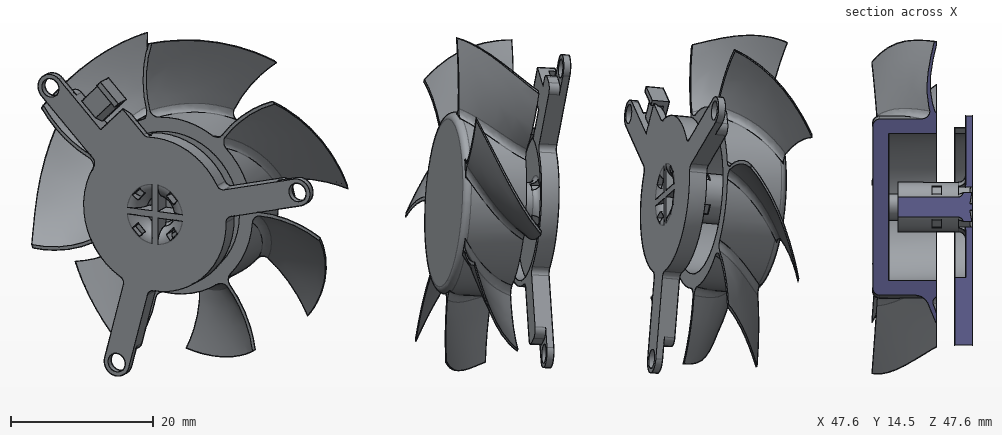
import cadquery as cq
import math

SPAN = 47.6

PLATE_RADIUS = 11.15
PLATE_DEPTH = 2.5
FLOOR = 1.0
RIM_WALL = 0.8
FIRST_ARM_ANGLE = 15.0
ARM_COUNT = 3
ARM_STEP = 360.0 / ARM_COUNT
ARM_REACH = 23.1
LUG_RADIUS = 1.95
LUG_HOLE_RADIUS = 1.35
THICK_ARM_REACH = ARM_REACH - LUG_RADIUS
THICK_ARM_ROUNDING = 1.2
ARM_CORNER = 0.95

TUBE_RADIUS = 3.48
TUBE_END = 10.47
TUBE_FOOT = 1.0
THROAT_RADIUS = 2.25
FUNNEL_RADIUS = 2.1
SHAFT_RADIUS = 1.85
SHAFT_START = 2.85
SPOKE_WIDTH = 0.95
WINDOW_COUNT = 4
WINDOW_WIDTH = 1.55
WINDOW_INNER = 3.15
WINDOW_OUTER = 4.2
POCKET_DEPTH = 2.0
SLOT_START = 4.35
SLOT_END = 5.7

OUTLET_ANGLE = FIRST_ARM_ANGLE + ARM_STEP
OUTLET_WIDTH = 6.8
TONGUE_REACH = 13.95
TONGUE_SLOPE = 1.2
TONGUE_SLOPE_HEIGHT = 0.8
RIM_GAP_START = 7.15
SOCKET_START = 14.9
SOCKET_END = 18.85
SOCKET_SLOPE = 0.85

HUB_RADIUS = 12.75
HUB_BORE_RADIUS = 10.7
HUB_FRONT = 5.05
HUB_FLOOR = 11.7
HUB_REAR = 14.0
HUB_ROUNDING = 1.0
FAN_RADIUS = SPAN - ARM_REACH * math.cos(math.radians(FIRST_ARM_ANGLE)) - LUG_RADIUS

BLADE_COUNT = 7
BLADE_PITCH = 360.0 / BLADE_COUNT
BLADE_WIDTH = 0.5
BLADE_ROOT = 13.8
BLADE_MIDDLE = 19.05
ROOT_ANGLE = 106.0
MIDDLE_ANGLE = 103.2
TIP_ANGLE = 98.7
FLARE = 1.05
FLARE_MIDDLE = 13.1
FLARE_MIDDLE_WIDENING = 0.35
BLADE_FOOT = 12.3
TWIST = 38.4
TWIST_BOW = 4.0
ROOT_LEAD = 4.6
BLADE_SECTIONS = 6
BLADE_REAR = 14.1
REAR_RISE = 0.75
LONG_BLADE_REAR = 14.5
LONG_BLADE_LEAD = 0.8
LONG_BLADE = 2


def polar(radius, angle, shift=0.0):
    """Point at a radius and angle, moved clockwise along the circumference by shift."""
    turn = math.radians(angle) - shift / radius
    return (radius * math.cos(turn), radius * math.sin(turn))


def facing_front(y, angle=0.0):
    """Sketch plane at depth y, seen from -Y, its first axis turned counter-clockwise from +X."""
    turn = math.radians(angle)
    first_axis = (math.cos(turn), 0, math.sin(turn))
    return cq.Workplane(cq.Plane(origin=(0, y, 0), xDir=first_axis, normal=(0, -1, 0)))


def disc(radius, start, end):
    return facing_front(start).circle(radius).extrude(start - end)


def block(angle, along, across, depth):
    """Box given by its (from, to) ranges along the angle, across it and in depth."""
    return (
        facing_front(depth[0], angle)
        .center(along[0], across[0])
        .rect(along[1] - along[0], across[1] - across[0], centered=False)
        .extrude(depth[0] - depth[1])
    )


def arm_angles():
    return [FIRST_ARM_ANGLE + i * ARM_STEP for i in range(ARM_COUNT)]


def plate_with_arms():
    plate = disc(PLATE_RADIUS, 0, PLATE_DEPTH)
    width = (-LUG_RADIUS, LUG_RADIUS)
    for angle in arm_angles():
        thick_arm = block(angle, (0, THICK_ARM_REACH), width, (0, PLATE_DEPTH))
        x, z = polar(1, angle)
        far_end = thick_arm.faces(cq.selectors.DirectionMinMaxSelector(cq.Vector(x, 0, z)))
        plate = plate.union(far_end.edges("|Y").fillet(THICK_ARM_ROUNDING))
    box_reach = PLATE_RADIUS + RIM_WALL
    box_corner = (box_reach, PLATE_DEPTH, box_reach)
    corners = cq.selectors.BoxSelector((-box_reach, 0, -box_reach), box_corner)
    plate = plate.edges("|Y").edges(corners).fillet(ARM_CORNER)
    for angle in arm_angles():
        lug = facing_front(0, angle).center(ARM_REACH, 0)
        plate = plate.union(block(angle, (0, ARM_REACH), width, (0, FLOOR)))
        plate = plate.union(lug.circle(LUG_RADIUS).extrude(-FLOOR))
        plate = plate.cut(lug.circle(LUG_HOLE_RADIUS).extrude(-FLOOR))
    return plate.cut(disc(PLATE_RADIUS - RIM_WALL, FLOOR, PLATE_DEPTH))


def outlet_bar(points):
    """Bar from the outlet's open side to the arm's centre line; points are (along, depth) pairs."""
    turn = math.radians(OUTLET_ANGLE)
    along = cq.Vector(math.cos(turn), 0, math.sin(turn))
    across = along.cross(cq.Vector(0, 1, 0))
    open_side = cq.Plane(origin=across * -OUTLET_WIDTH, xDir=along, normal=across)
    return cq.Workplane(open_side).polyline(points).close().extrude(OUTLET_WIDTH)


def cable_outlet(plate):
    """Opens the rim beside the arm, and adds the floor tongue and the connector socket."""
    across = (-OUTLET_WIDTH, -LUG_RADIUS)
    plate = plate.cut(block(OUTLET_ANGLE, (RIM_GAP_START, TONGUE_REACH), across, (FLOOR, PLATE_DEPTH)))
    tongue = outlet_bar(
        [
            (0, 0),
            (TONGUE_REACH, 0),
            (TONGUE_REACH, FLOOR - TONGUE_SLOPE_HEIGHT),
            (TONGUE_REACH - TONGUE_SLOPE, FLOOR),
            (0, FLOOR),
        ]
    )
    socket_back = outlet_bar(
        [
            (SOCKET_START + SOCKET_SLOPE, FLOOR),
            (SOCKET_END, FLOOR),
            (SOCKET_END, PLATE_DEPTH),
            (SOCKET_START, PLATE_DEPTH),
            (SOCKET_START, FLOOR + SOCKET_SLOPE),
        ]
    )
    plate = plate.union(tongue)
    corner_along = math.sqrt(PLATE_RADIUS**2 - OUTLET_WIDTH**2)
    corner = facing_front(FLOOR / 2, OUTLET_ANGLE).center(corner_along, -OUTLET_WIDTH).plane.origin
    plate = plate.edges(cq.selectors.NearestToPointSelector(corner.toTuple())).fillet(ARM_CORNER)
    wall_across = (-OUTLET_WIDTH, RIM_WALL - OUTLET_WIDTH)
    socket_wall = block(OUTLET_ANGLE, (SOCKET_START, SOCKET_END), wall_across, (0, PLATE_DEPTH))
    return plate.union(socket_back).union(socket_wall)


def turned(profile):
    """Solid of revolution about the Y axis of a closed profile in the XY plane."""
    return profile.close().revolve(360, (0, 0, 0), (0, 1, 0))


def arc_middle(center, radius, angle):
    turn = math.radians(angle)
    return (center[0] + radius * math.cos(turn), center[1] + radius * math.sin(turn))


def bearing_tube():
    foot_center = (TUBE_RADIUS + TUBE_FOOT, FLOOR + TUBE_FOOT)
    return turned(
        cq.Workplane("XY")
        .lineTo(foot_center[0], 0)
        .lineTo(foot_center[0], FLOOR)
        .threePointArc(arc_middle(foot_center, TUBE_FOOT, 225), (TUBE_RADIUS, foot_center[1]))
        .lineTo(TUBE_RADIUS, TUBE_END)
        .lineTo(0, TUBE_END)
    )


def tube_bore():
    """Rounded mouth, a short taper, then the straight bore that carries the shaft."""
    mouth_center = (THROAT_RADIUS + FUNNEL_RADIUS, FUNNEL_RADIUS)
    return turned(
        cq.Workplane("XY")
        .lineTo(mouth_center[0], 0)
        .threePointArc(arc_middle(mouth_center, FUNNEL_RADIUS, 225), (THROAT_RADIUS, FUNNEL_RADIUS))
        .lineTo(SHAFT_RADIUS, SHAFT_START)
        .lineTo(SHAFT_RADIUS, TUBE_END)
        .lineTo(0, TUBE_END)
    )


def make_bracket():
    bracket = cable_outlet(plate_with_arms()).union(bearing_tube()).cut(tube_bore())
    for i in range(WINDOW_COUNT):
        angle = (i + 0.5) * 360.0 / WINDOW_COUNT
        along = (WINDOW_INNER, WINDOW_OUTER)
        across = (-WINDOW_WIDTH / 2, WINDOW_WIDTH / 2)
        pocket = block(angle, along, across, (0, POCKET_DEPTH))
        slot = block(angle, along, across, (SLOT_START, SLOT_END))
        bracket = bracket.cut(pocket).cut(slot)
    spoke_reach = THROAT_RADIUS + FUNNEL_RADIUS
    for angle in (0, 90):
        spoke = facing_front(0, angle).rect(2 * spoke_reach, SPOKE_WIDTH).extrude(-PLATE_DEPTH)
        bracket = bracket.union(spoke.intersect(tube_bore()))
    return bracket


def make_hub():
    hub = disc(HUB_RADIUS, HUB_FRONT, HUB_REAR).faces(">Y").edges().fillet(HUB_ROUNDING)
    hub = hub.cut(disc(HUB_BORE_RADIUS, HUB_FRONT, HUB_FLOOR))
    return hub.union(disc(SHAFT_RADIUS, SHAFT_START, HUB_FLOOR))


def blade_zone(rear_at_tip):
    """Ring that the blades fill, its rear bounded by a shallow cone."""
    return turned(
        cq.Workplane("XY")
        .moveTo(BLADE_FOOT, HUB_FRONT)
        .lineTo(SPAN, HUB_FRONT)
        .lineTo(SPAN, rear_at_tip)
        .lineTo(FAN_RADIUS, rear_at_tip)
        .lineTo(HUB_RADIUS, rear_at_tip - REAR_RISE)
        .lineTo(BLADE_FOOT, rear_at_tip - REAR_RISE)
    )


def blade_section(depth, angle, root_lead):
    """Outline of a blade cut square to the axis: a curved strip with a flared root."""
    root_angle = ROOT_ANGLE - root_lead
    middle_angle = MIDDLE_ANGLE - root_lead / 2
    outline = (
        facing_front(depth, angle)
        .moveTo(*polar(BLADE_FOOT, root_angle, -FLARE))
        .lineTo(*polar(HUB_RADIUS, root_angle, -FLARE))
        .threePointArc(
            polar(FLARE_MIDDLE, root_angle, -FLARE_MIDDLE_WIDENING),
            polar(BLADE_ROOT, root_angle),
        )
        .threePointArc(polar(BLADE_MIDDLE, middle_angle), polar(FAN_RADIUS, TIP_ANGLE))
        .threePointArc(
            polar(FAN_RADIUS, TIP_ANGLE, BLADE_WIDTH / 2),
            polar(FAN_RADIUS, TIP_ANGLE, BLADE_WIDTH),
        )
        .threePointArc(
            polar(BLADE_MIDDLE, middle_angle, BLADE_WIDTH),
            polar(BLADE_ROOT, root_angle, BLADE_WIDTH),
        )
        .threePointArc(
            polar(FLARE_MIDDLE, root_angle, BLADE_WIDTH + FLARE_MIDDLE_WIDENING),
            polar(HUB_RADIUS, root_angle, BLADE_WIDTH + FLARE),
        )
        .lineTo(*polar(BLADE_FOOT, root_angle, BLADE_WIDTH + FLARE))
        .close()
    )
    return outline.val()


def make_blade(rear_at_tip, front_lead=0.0):
    """Loft through turned sections: the twist starts gently at the front and steepens to the rear."""
    sections = []
    for i in range(BLADE_SECTIONS):
        part = i / (BLADE_SECTIONS - 1)
        depth = HUB_FRONT + part * (rear_at_tip - HUB_FRONT)
        lag = 4 * TWIST_BOW * part * (1 - part) + front_lead * (1 - part)
        sections.append(blade_section(depth, lag - TWIST * part, ROOT_LEAD * part**2))
    blade = cq.Workplane(cq.Solid.makeLoft(sections))
    return blade.intersect(blade_zone(rear_at_tip))


def make_impeller():
    impeller = make_hub()
    for i in range(BLADE_COUNT):
        if i == LONG_BLADE:
            blade = make_blade(LONG_BLADE_REAR, LONG_BLADE_LEAD)
        else:
            blade = make_blade(BLADE_REAR)
        impeller = impeller.union(blade.rotate((0, 0, 0), (0, -1, 0), i * BLADE_PITCH))
    return impeller


bracket = make_bracket()
impeller = make_impeller()
result = cq.Compound.makeCompound([*bracket.vals(), *impeller.vals()])